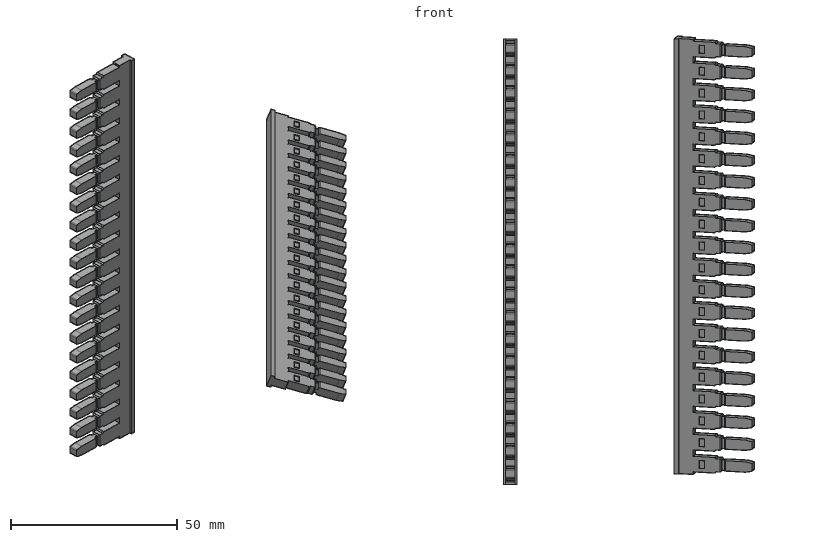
import cadquery as cq

length = 133.5
depth = 24.0
rail_width = 4.1

web_width = 2.8
rail_depth = 1.3
spine_depth = 5.7

prong_count = 20
bottom_margin = 3.2
top_margin = 3.0
prong_pitch = (length - bottom_margin - top_margin) / (prong_count - 1)

shank_half_height = 2.4
step_start = 12.4
step_end = 12.8
shank_end_half_height = 2.0
tip_half_height = 1.6
tip_taper_start = 21.9
tip_end_half_height = 1.2
tip_end_radius = 0.3

neck_width = 1.3
neck_start = 14.5
neck_end = 15.4
lip_length = 0.4
lip_inset = 0.3

window_start = 7.6
window_end = 9.2
window_height = 2.4
window_depth = 0.3

back_y = depth / 2
first_prong_height = bottom_margin - length / 2


def block(width, start, end, height):
    """Box centred on X and Z, between two distances from the back face."""
    middle_y = back_y - (start + end) / 2
    return cq.Workplane("XY").box(width, end - start, height).translate((0, middle_y, 0))


def make_spine():
    rail = block(rail_width, 0, rail_depth, length)
    web = block(web_width, 0, spine_depth, length)
    return rail.union(web)


def make_prong_blank():
    """Prong of full web thickness, rooted inside the spine."""
    upper_edge = [
        (rail_depth, shank_half_height),
        (step_start, shank_half_height),
        (step_end, shank_end_half_height),
        (neck_start - lip_length, shank_end_half_height),
        (neck_start, tip_half_height),
        (tip_taper_start, tip_half_height),
        (depth, tip_end_half_height),
    ]
    lower_edge = [(distance, -height) for distance, height in reversed(upper_edge)]
    outline = [(back_y - distance, height) for distance, height in upper_edge + lower_edge]
    blank = cq.Workplane("YZ").polyline(outline).close().extrude(web_width / 2, both=True)
    return blank.faces("<Y").edges("|X").fillet(tip_end_radius)


def make_neck_groove(side):
    """Cutter for the neck groove on the +X (side = 1) or -X (side = -1) face."""
    outer_x = side * web_width / 2
    lip_x = side * (web_width / 2 - lip_inset)
    floor_x = side * neck_width / 2
    outline = [
        (outer_x, back_y - neck_start + lip_length),
        (lip_x, back_y - neck_start),
        (floor_x, back_y - neck_start),
        (floor_x, back_y - neck_end),
        (lip_x, back_y - neck_end),
        (outer_x, back_y - neck_end - lip_length),
    ]
    return cq.Workplane("XY").polyline(outline).close().extrude(shank_half_height, both=True)


def make_window():
    cutter = block(2 * window_depth, window_start, window_end, window_height)
    return cutter.translate((-web_width / 2, 0, 0))


def make_prong():
    prong = make_prong_blank()
    for side in (-1, 1):
        prong = prong.cut(make_neck_groove(side))
    return prong.cut(make_window())


result = make_spine()
prong = make_prong()
for index in range(prong_count):
    prong_height = first_prong_height + index * prong_pitch
    result = result.union(prong.translate((0, 0, prong_height)))